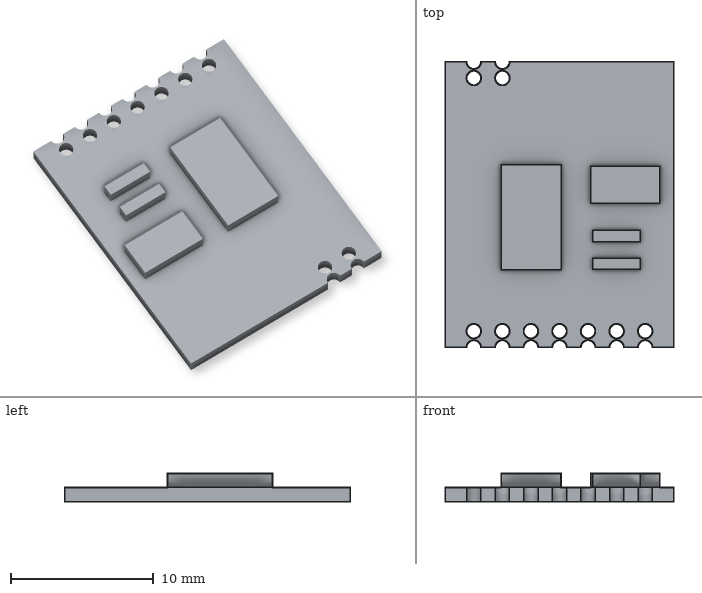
import cadquery as cq

BOARD_WIDTH = 16.0
BOARD_LENGTH = 20.0
BOARD_THICKNESS = 1.02

PAD_PITCH = 2.0
FIRST_PAD_X = 2.0
FRONT_PAD_COUNT = 7
BACK_PAD_COUNT = 2
PAD_WIDTH = 1.6
PAD_LENGTH = 2.0
HOLE_DIAMETER = 1.0
HOLE_INSET = 1.15

TOTAL_HEIGHT = 2.0
COMPONENT_HEIGHT = TOTAL_HEIGHT - BOARD_THICKNESS
MAIN_CHIP_SIZE = (4.2, 7.35)
MAIN_CHIP_CORNER = (3.92, 5.45)
CRYSTAL_SIZE = (4.85, 2.6)
CRYSTAL_CORNER = (10.18, 10.1)
BAR_SIZE = (3.3, 0.8)
BAR_X = 10.35
BAR_YS = (5.45, 7.4)


def pad_places():
    """Edge point of every pad, with the Y direction that leads inward from that edge."""
    front = [(FIRST_PAD_X + i * PAD_PITCH, 0.0, 1) for i in range(FRONT_PAD_COUNT)]
    back = [(FIRST_PAD_X + i * PAD_PITCH, BOARD_LENGTH, -1) for i in range(BACK_PAD_COUNT)]
    return front + back


def block(size, corner, base_z, height):
    """Upright block whose lowest X and Y corner is given."""
    return cq.Workplane("XY", origin=(*corner, base_z)).box(*size, height, centered=False)


def cut_pad_holes(board):
    """A round through hole in each pad and a half-round notch at the edge in front of it."""
    centers = []
    for x, edge_y, inward in pad_places():
        centers.append((x, edge_y))
        centers.append((x, edge_y + inward * HOLE_INSET))
    drills = cq.Workplane("XY").pushPoints(centers).circle(HOLE_DIAMETER / 2)
    return board.cut(drills.extrude(BOARD_THICKNESS))


def add_components(board):
    """Main chip, crystal and the two narrow bars."""
    components = [(MAIN_CHIP_SIZE, MAIN_CHIP_CORNER), (CRYSTAL_SIZE, CRYSTAL_CORNER)]
    components += [(BAR_SIZE, (BAR_X, y)) for y in BAR_YS]
    for size, corner in components:
        board = board.union(block(size, corner, BOARD_THICKNESS, COMPONENT_HEIGHT))
    return board


def mark_pads(board):
    """Rectangles imprinted on the board top, so that each flush pad is a face of its own."""
    outlines = []
    for x, edge_y, inward in pad_places():
        center = cq.Vector(x, edge_y + inward * PAD_LENGTH / 2, BOARD_THICKNESS)
        outlines.append(cq.Face.makePlane(PAD_LENGTH, PAD_WIDTH, center))
    return cq.Workplane(board.val().split(*outlines)).solids()


board = block((BOARD_WIDTH, BOARD_LENGTH), (0.0, 0.0), 0.0, BOARD_THICKNESS)
board = cut_pad_holes(board)
board = add_components(board)
result = mark_pads(board)